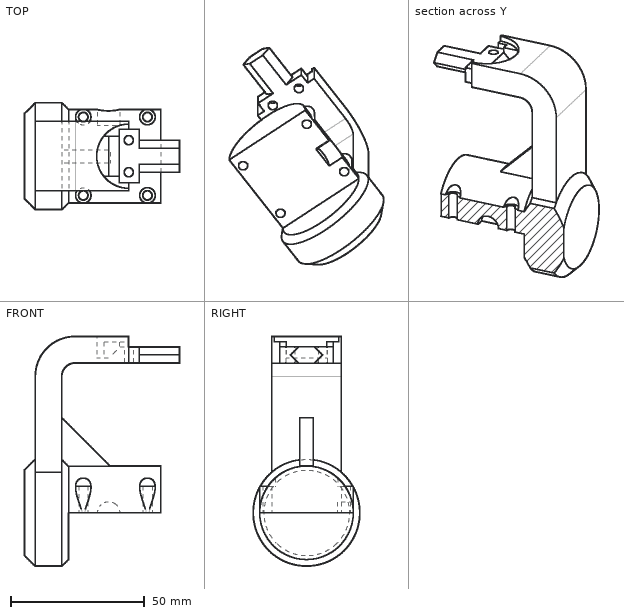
import cadquery as cq
import math


hub_radius = 20.0
hub_outer_chamfer = 4.0
hub_inner_chamfer = 2.5
hub_rim_end = 14.0

barrel_radius = hub_radius - hub_inner_chamfer
barrel_end = 51.0

boss_radius = 2.9
boss_top = 10.0
boss_first_x = 22.0
boss_pitch = 24.0
boss_y = 14.65
screw_hole_diameter = 3.4

port_radius = 4.2
port_x = 31.4
port_depth = 6.0

strap_thickness = 10.0
strap_width = 26.0
strap_back = hub_rim_end - strap_thickness
arm_top = 66.0
arm_bottom = arm_top - strap_thickness
arm_end = 39.0
bend_inner_radius = 5.0
bend_outer_radius = bend_inner_radius + strap_thickness

gusset_leg = 18.0
gusset_width = 5.0

tongue_height = 6.0
tongue_top = arm_bottom + tongue_height
head_start = 35.5
head_end = 43.0
head_width = 20.0
tongue_end = 58.0
bar_width = 12.0
bar_bevel = 3.0
pin_hole_diameter = 3.4
pin_hole_x = arm_end
pin_hole_y = 6.0

recess_radius = 12.0
recess_floor = 64.0
pocket_width = 15.0
pocket_floor = 58.0
ramp_foot = 31.6


def box(x_range, width, z_range):
    """Box between two X and two Z values, centred on Y = 0."""
    length = x_range[1] - x_range[0]
    height = z_range[1] - z_range[0]
    return (
        cq.Workplane("XY")
        .box(length, width, height, centered=(False, True, False))
        .translate((x_range[0], 0, z_range[0]))
    )


def upright_cylinder(x, y, radius, z_low, z_high):
    return cq.Workplane("XY", origin=(x, y, z_low)).circle(radius).extrude(z_high - z_low)


def make_hub():
    """Disc with a chamfer on both rims, revolved about X."""
    return (
        cq.Workplane("XZ")
        .moveTo(0, 0)
        .lineTo(0, hub_radius - hub_outer_chamfer)
        .lineTo(hub_outer_chamfer, hub_radius)
        .lineTo(hub_rim_end, hub_radius)
        .lineTo(hub_rim_end + hub_inner_chamfer, barrel_radius)
        .lineTo(hub_rim_end + hub_inner_chamfer, 0)
        .close()
        .revolve(360, (0, 0, 0), (1, 0, 0))
    )


def make_strap():
    """L-shaped strap with concentric bend arcs."""
    bend_x = strap_back + bend_outer_radius
    bend_z = arm_top - bend_outer_radius
    diagonal = math.sqrt(0.5)
    return (
        cq.Workplane("XZ")
        .moveTo(strap_back, 0)
        .lineTo(strap_back, bend_z)
        .threePointArc(
            (bend_x - bend_outer_radius * diagonal, bend_z + bend_outer_radius * diagonal),
            (bend_x, arm_top),
        )
        .lineTo(arm_end, arm_top)
        .lineTo(arm_end, arm_bottom)
        .lineTo(bend_x, arm_bottom)
        .threePointArc(
            (bend_x - bend_inner_radius * diagonal, bend_z + bend_inner_radius * diagonal),
            (hub_rim_end, bend_z),
        )
        .lineTo(hub_rim_end, 0)
        .close()
        .extrude(strap_width / 2, both=True)
    )


def make_barrel():
    """Upper half of a cylinder along X, flat side down."""
    return (
        cq.Workplane("YZ", origin=(hub_rim_end, 0, 0))
        .moveTo(barrel_radius, 0)
        .threePointArc((0, barrel_radius), (-barrel_radius, 0))
        .close()
        .extrude(barrel_end - hub_rim_end)
    )


def make_gusset():
    """45 degree web; its foot is sunk into the barrel."""
    return (
        cq.Workplane("XZ")
        .moveTo(hub_rim_end, 0)
        .lineTo(hub_rim_end, barrel_radius + gusset_leg)
        .lineTo(hub_rim_end + gusset_leg, barrel_radius)
        .lineTo(hub_rim_end + gusset_leg, 0)
        .close()
        .extrude(gusset_width / 2, both=True)
    )


def add_screw_bosses(body):
    """Four bosses with spot-faced tops and through holes."""
    for x in (boss_first_x, boss_first_x + boss_pitch):
        for y in (-boss_y, boss_y):
            body = body.union(upright_cylinder(x, y, boss_radius, 0, boss_top))
            body = body.cut(upright_cylinder(x, y, boss_radius, boss_top, barrel_radius))
            body = body.cut(upright_cylinder(x, y, screw_hole_diameter / 2, 0, boss_top))
    return body


def cut_side_port(body):
    """Blind port along Y, open at the flat underside of the barrel."""
    port = (
        cq.Workplane("XZ", origin=(port_x, barrel_radius, 0))
        .circle(port_radius)
        .extrude(port_depth)
    )
    upper_half = box((0, barrel_end), 2 * hub_radius, (0, port_radius))
    return body.cut(port.intersect(upper_half))


def cut_arm_recess(body):
    """Round recess, a seat for the tongue head and a ramped pocket behind it."""
    disc = upright_cylinder(arm_end, 0, recess_radius, recess_floor, arm_top)
    seat = box((head_start, arm_end), head_width, (tongue_top, arm_top))
    pocket = (
        cq.Workplane("XZ")
        .moveTo(arm_end - recess_radius, arm_top)
        .lineTo(arm_end - recess_radius, pocket_floor)
        .lineTo(ramp_foot, pocket_floor)
        .lineTo(head_start, tongue_top)
        .lineTo(head_start, arm_top)
        .close()
        .extrude(pocket_width / 2, both=True)
    )
    round_limit = upright_cylinder(arm_end, 0, recess_radius, arm_bottom, arm_top)
    return body.cut(disc).cut(seat).cut(pocket.intersect(round_limit))


def make_tongue():
    """Flat head crossing the arm end and a hexagonal bar pointing along +X."""
    head = box((head_start, head_end), head_width, (arm_bottom, tongue_top))
    half_width = bar_width / 2
    half_flat = half_width - bar_bevel
    middle = arm_bottom + tongue_height / 2
    bar = (
        cq.Workplane("YZ", origin=(arm_end, 0, 0))
        .moveTo(-half_flat, arm_bottom)
        .lineTo(half_flat, arm_bottom)
        .lineTo(half_width, middle)
        .lineTo(half_flat, tongue_top)
        .lineTo(-half_flat, tongue_top)
        .lineTo(-half_width, middle)
        .close()
        .extrude(tongue_end - arm_end)
    )
    return head.union(bar)


def cut_pin_holes(body):
    """Two vertical holes through the tongue head and the arm."""
    for y in (-pin_hole_y, pin_hole_y):
        body = body.cut(upright_cylinder(pin_hole_x, y, pin_hole_diameter / 2, arm_bottom, arm_top))
    return body


barrel = cut_side_port(add_screw_bosses(make_barrel()))
arm = cut_arm_recess(make_strap())
tongue_and_arm = cut_pin_holes(arm.union(make_tongue()))
result = make_hub().union(barrel).union(make_gusset()).union(tongue_and_arm)